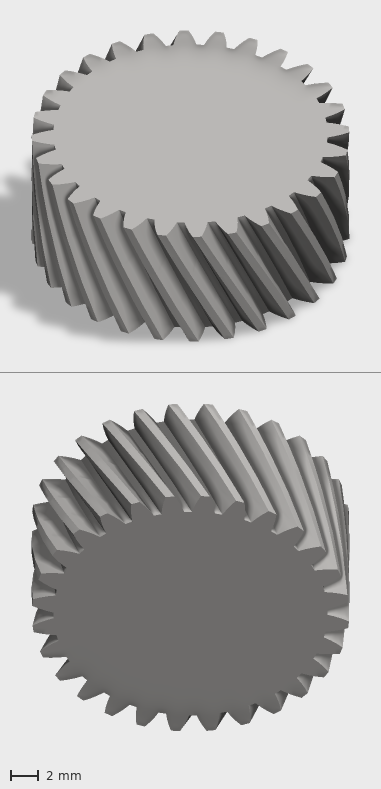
import cadquery as cq
import math

tooth_count = 28
tip_diameter = 23.03
face_width = 10.0
helix_angle = math.radians(25)
dedendum_factor = 1.25

root_fill = 0.75
pitch_fill = 0.5
tip_fill = 0.25

tip_radius = tip_diameter / 2
normal_module = tip_diameter / (tooth_count / math.cos(helix_angle) + 2)
pitch_radius = tip_radius - normal_module
root_radius = pitch_radius - dedendum_factor * normal_module
tooth_pitch = 2 * math.pi / tooth_count

twist_degrees = -math.degrees(face_width * math.tan(helix_angle) / pitch_radius)


def polar(radius, angle):
    return (radius * math.cos(angle), radius * math.sin(angle))


def gear_outline():
    """Closed outline of the bottom face, with one tooth centred on +X."""
    root_half = root_fill * tooth_pitch / 2
    pitch_half = pitch_fill * tooth_pitch / 2
    tip_half = tip_fill * tooth_pitch / 2

    outline = cq.Workplane("XY").moveTo(*polar(root_radius, -root_half))
    for tooth in range(tooth_count):
        center = tooth * tooth_pitch
        next_center = center + tooth_pitch
        outline = (
            outline.threePointArc(
                polar(pitch_radius, center - pitch_half),
                polar(tip_radius, center - tip_half),
            )
            .threePointArc(
                polar(tip_radius, center),
                polar(tip_radius, center + tip_half),
            )
            .threePointArc(
                polar(pitch_radius, center + pitch_half),
                polar(root_radius, center + root_half),
            )
            .threePointArc(
                polar(root_radius, center + tooth_pitch / 2),
                polar(root_radius, next_center - root_half),
            )
        )
    return outline.close()


result = gear_outline().twistExtrude(face_width, twist_degrees)